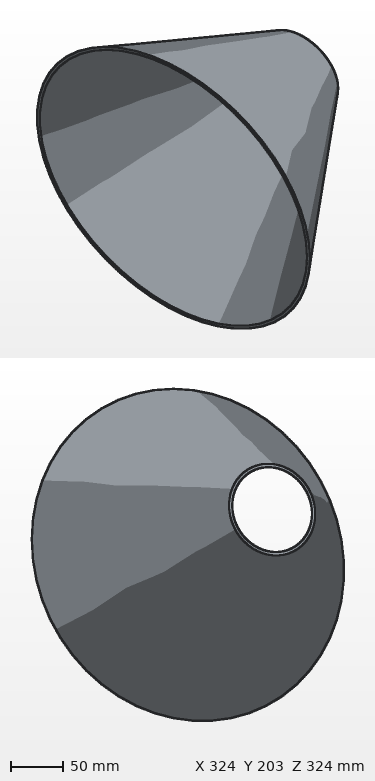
import cadquery as cq
import math

mouth_diameter = 324.0
length = 203.0
half_angle = 30.0
wall_thickness = 3.0

taper = length * math.tan(math.radians(half_angle))
radial_wall = wall_thickness / math.cos(math.radians(half_angle))
mouth_radius = mouth_diameter / 2
tip_radius = mouth_radius - taper

wall_section = [
    (mouth_radius - radial_wall, -length / 2),
    (mouth_radius, -length / 2),
    (tip_radius, length / 2),
    (tip_radius - radial_wall, length / 2),
]

result = (
    cq.Workplane("XY")
    .polyline(wall_section)
    .close()
    .revolve(360, (0, 0, 0), (0, 1, 0))
)